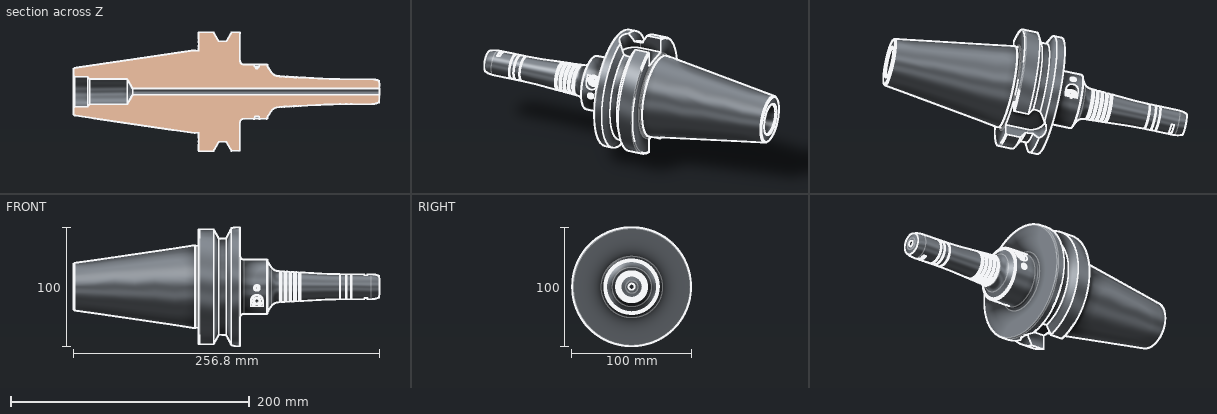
import cadquery as cq
import math


gauge_radius = 69.85 / 2
taper_length = 101.8
taper_ratio = 7 / 24
shank_end_radius = gauge_radius - taper_length * taper_ratio / 2
shank_chamfer = 1.0

flange_start = 3.0
flange_end = 38.0
flange_radius = 50.0
flange_edge_round = 1.0

relief_radius = 34.5
relief_bevel = 0.6
relief_corner = 0.8
relief_face_depth = 0.2
relief_face_radius = 36.6

vee_centre = 23.2
vee_floor_radius = 42.4
vee_floor_width = 6.2
vee_wall_angle = 30.0
vee_wall_length = (flange_radius - vee_floor_radius) * math.tan(math.radians(vee_wall_angle))
vee_floor_start = vee_centre - vee_floor_width / 2
vee_floor_end = vee_centre + vee_floor_width / 2

slot_width = 25.4
slot_floor = 35.4
slot_end = 34.2

hub_radius = 23.0
hub_end = 61.0
hub_chamfer = 0.6
hub_fillet = 2.8
cone_angle = 57.0
cone_fillet_radius = 7.3

nose_root = 70.2
nose_root_radius = 13.2
nose_taper_angle = 3.3
nose_radius = 21.3 / 2
tip_round_start = 147.6
tip_rim = 154.4
tip_rim_radius = 9.2
tip_face_radius = 5.2
total_end = 155.0

grip_groove_count = 5
grip_groove_pitch = 4.0
grip_groove_first = 72.0
grip_groove_width = 1.95
grip_groove_floor = 1.27
grip_groove_depth = (grip_groove_width - grip_groove_floor) / 2
grip_end = grip_groove_first + (grip_groove_count - 1) * grip_groove_pitch + grip_groove_width / 2

band_groove_centres = [121.7, 127.1, 131.0]
band_groove_width = 0.8
band_groove_radius = 21.0 / 2
nose_straight_start = band_groove_centres[0] - band_groove_width / 2

notch_centre = 143.4
notch_width = 2.4
notch_floor = 9.65

bore_mouth_radius = 13.5
bore_radius = 25.0 / 2
thread_chamfer_radius = 24.0 / 2
thread_radius = 21.0 / 2
coolant_radius = 5.0 / 2
bore_depth = 12.0
thread_depth = 45.0
drill_cone_angle = 60.0

screw_x = 52.0
screw_z = 12.0
screw_pocket_width = 10.4
screw_pocket_floor = 16.0
screw_hole_radius = 9.0 / 2
screw_hole_depth = 1.3
screw_tip_radius = 2.9
screw_tip_height = 1.1
screw_hex = 4.62
screw_hex_depth = 2.5
socket_cone_radius = 2.0
socket_cone_depth = 1.2

plug_z = -1.0
plug_mouth_radius = 5.0 / 2
plug_hole_radius = 4.1 / 2
plug_mouth_depth = 0.5
plug_depth = 2.0
plug_sink_radius = 3.0 / 2
plug_sink_depth = 0.4
plug_hex = 2.31
plug_hex_depth = 1.5


def turned(wire):
    """Solid of revolution about X from an open outline."""
    return wire.close().revolve(360, (0, 0, 0), (1, 0, 0))


def nose_surface_radius(x):
    return nose_root_radius - (x - nose_root) * math.tan(math.radians(nose_taper_angle))


def make_body():
    relief_bottom = flange_start + relief_face_depth
    nose_taper = math.radians(nose_taper_angle)
    nose_taper_direction = (math.cos(nose_taper), -math.sin(nose_taper))
    fillet_angle = math.radians(cone_angle)
    fillet_start = nose_root - cone_fillet_radius * math.sin(fillet_angle)
    fillet_start_radius = nose_root_radius + cone_fillet_radius * (1 - math.cos(fillet_angle))
    shoulder_radius = fillet_start_radius + (fillet_start - hub_end) * math.tan(fillet_angle)
    outline = (
        cq.Workplane("XY")
        .moveTo(-taper_length, 0)
        .lineTo(-taper_length, shank_end_radius - shank_chamfer)
        .lineTo(-taper_length + shank_chamfer, shank_end_radius)
        .lineTo(0, gauge_radius)
        .lineTo(relief_bevel, relief_radius)
        .lineTo(relief_bottom - relief_corner, relief_radius)
        .radiusArc((relief_bottom, relief_radius + relief_corner), -relief_corner)
        .lineTo(flange_start, relief_face_radius)
        .lineTo(flange_start, flange_radius - flange_edge_round)
        .radiusArc((flange_start + flange_edge_round, flange_radius), flange_edge_round)
        .lineTo(vee_floor_start - vee_wall_length, flange_radius)
        .lineTo(vee_floor_start, vee_floor_radius)
        .lineTo(vee_floor_end, vee_floor_radius)
        .lineTo(vee_floor_end + vee_wall_length, flange_radius)
        .lineTo(flange_end - flange_edge_round, flange_radius)
        .radiusArc((flange_end, flange_radius - flange_edge_round), flange_edge_round)
        .lineTo(flange_end, hub_radius + hub_fillet)
        .radiusArc((flange_end + hub_fillet, hub_radius), -hub_fillet)
        .lineTo(hub_end - hub_chamfer, hub_radius)
        .lineTo(hub_end, hub_radius - hub_chamfer)
        .lineTo(hub_end, shoulder_radius)
        .lineTo(fillet_start, fillet_start_radius)
        .radiusArc((nose_root, nose_root_radius), -cone_fillet_radius)
        .lineTo(grip_end, nose_surface_radius(grip_end))
        .spline(
            [(nose_straight_start, nose_radius)],
            tangents=[nose_taper_direction, (1, 0)],
            includeCurrent=True,
        )
        .lineTo(tip_round_start, nose_radius)
        .tangentArcPoint((tip_rim, tip_rim_radius), relative=False)
        .lineTo(total_end, tip_face_radius)
        .lineTo(total_end, 0)
    )
    return turned(outline)


def make_bore():
    mouth_chamfer = bore_mouth_radius - bore_radius
    thread_chamfer = thread_chamfer_radius - thread_radius
    cone_length = (thread_radius - coolant_radius) / math.tan(math.radians(drill_cone_angle))
    outline = (
        cq.Workplane("XY")
        .moveTo(-taper_length, 0)
        .lineTo(-taper_length, bore_mouth_radius)
        .lineTo(-taper_length + mouth_chamfer, bore_radius)
        .lineTo(-taper_length + bore_depth, bore_radius)
        .lineTo(-taper_length + bore_depth, thread_chamfer_radius)
        .lineTo(-taper_length + bore_depth + thread_chamfer, thread_radius)
        .lineTo(-taper_length + thread_depth, thread_radius)
        .lineTo(-taper_length + thread_depth + cone_length, coolant_radius)
        .lineTo(total_end, coolant_radius)
        .lineTo(total_end, 0)
    )
    return turned(outline)


def make_drive_slot(side):
    """Round-ended slot on the +Z (side 1) or -Z (side -1) face of the flange."""
    height = flange_radius
    slot_centre = slot_end - slot_width / 2
    straight = (
        cq.Workplane("XY")
        .box(slot_centre, slot_width, height, centered=(False, True, False))
        .translate((0, 0, slot_floor))
    )
    rounded = (
        cq.Workplane("XY", origin=(slot_centre, 0, slot_floor))
        .circle(slot_width / 2)
        .extrude(height)
    )
    slot = straight.union(rounded)
    return slot if side > 0 else slot.mirror("XY")


def make_grip_groove(centre):
    outer_start = centre - grip_groove_width / 2
    floor_start = centre - grip_groove_floor / 2
    floor_end = centre + grip_groove_floor / 2
    outer_end = centre + grip_groove_width / 2
    clear_radius = 2 * nose_root_radius
    outline = (
        cq.Workplane("XY")
        .moveTo(outer_start, clear_radius)
        .lineTo(outer_start, nose_surface_radius(outer_start))
        .lineTo(floor_start, nose_surface_radius(floor_start) - grip_groove_depth)
        .lineTo(floor_end, nose_surface_radius(floor_end) - grip_groove_depth)
        .lineTo(outer_end, nose_surface_radius(outer_end))
        .lineTo(outer_end, clear_radius)
    )
    return turned(outline)


def make_band_groove(centre):
    return (
        cq.Workplane("YZ", origin=(centre - band_groove_width / 2, 0, 0))
        .circle(2 * nose_radius)
        .circle(band_groove_radius)
        .extrude(band_groove_width)
    )


def make_notch(side):
    """Flat-floored notch across the +Z (side 1) or -Z (side -1) side of the nose."""
    return (
        cq.Workplane("XY")
        .box(notch_width, 2 * nose_radius, 2 * nose_radius)
        .translate((notch_centre, 0, side * (notch_floor + nose_radius)))
    )


def make_screw_pocket():
    """Pocket on the -Y side, open toward -Z, with the socket screw in its floor."""
    floor = cq.Workplane("XZ", origin=(screw_x, -screw_pocket_floor, -screw_z))
    pocket_round = floor.circle(screw_pocket_width / 2).extrude(hub_radius)
    pocket_side = (
        floor.center(0, -hub_radius / 2)
        .rect(screw_pocket_width, hub_radius)
        .extrude(hub_radius)
    )
    hole = floor.circle(screw_hole_radius).extrude(-screw_hole_depth)
    screw_base = floor.workplane(offset=-screw_hole_depth)
    screw_tip = (
        screw_base.circle(screw_hole_radius)
        .workplane(offset=screw_tip_height)
        .circle(screw_tip_radius)
        .loft()
    )
    socket = floor.polygon(6, screw_hex).extrude(-screw_hex_depth)
    socket_cone = cq.Workplane("XY").add(
        cq.Solid.makeCone(
            socket_cone_radius,
            0,
            socket_cone_depth,
            pnt=cq.Vector(screw_x, -screw_pocket_floor + screw_hex_depth, -screw_z),
            dir=cq.Vector(0, 1, 0),
        )
    )
    return pocket_round.union(pocket_side).union(hole.cut(screw_tip)).union(socket).union(socket_cone)


def make_plug_hole():
    """Stepped hole on the -Y side with the socket of a small plug screw at its bottom."""
    surface = cq.Workplane("XZ", origin=(screw_x, -hub_radius, plug_z))
    mouth_floor = surface.workplane(offset=-plug_mouth_depth)
    mouth = mouth_floor.circle(plug_mouth_radius).extrude(2 * plug_mouth_depth)
    hole = surface.circle(plug_hole_radius).extrude(-plug_depth)
    plug_face = surface.workplane(offset=-plug_depth)
    sink = plug_face.circle(plug_sink_radius).extrude(-plug_sink_depth)
    socket = plug_face.polygon(6, plug_hex).extrude(-plug_hex_depth)
    return mouth.union(hole).union(sink).union(socket)


result = make_body().cut(make_bore())
for side in (1, -1):
    result = result.cut(make_drive_slot(side)).cut(make_notch(side))
for index in range(grip_groove_count):
    result = result.cut(make_grip_groove(grip_groove_first + index * grip_groove_pitch))
for centre in band_groove_centres:
    result = result.cut(make_band_groove(centre))
for pocket in (make_screw_pocket(), make_plug_hole()):
    opposite_pocket = pocket.rotate((0, 0, 0), (1, 0, 0), 180)
    result = result.cut(pocket).cut(opposite_pocket)